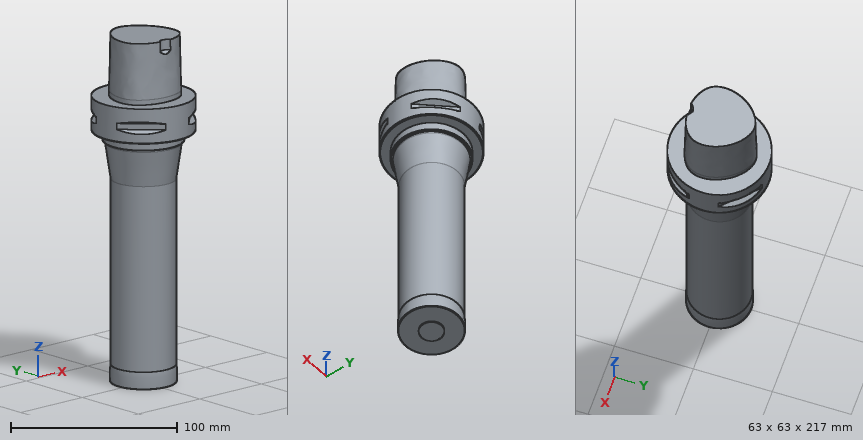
import cadquery as cq
import math

total_height = 217.0
shank_base_z = 182.3
flange_top_z = 179.0
flange_bottom_z = 157.0
neck_bottom_z = 151.0
cone_top_z = 150.0
cone_bottom_z = 127.5
head_top_z = 11.7
head_bulge_z = 5.2
head_bottom_z = 0.9

flange_diameter = 63.0
neck_diameter = 49.5
cone_diameter = 46.5
bar_diameter = 39.7
head_diameter = 41.0
head_end_diameter = 40.5
boss_diameter = 15.6

flange_chamfer = 0.7
neck_chamfer = 0.5
head_chamfer = 0.5

shank_top_width = 41.9
shank_base_width = 43.6
lobe_offset = 1.2
lobe_count = 3
lobe_direction = math.pi / 2
outline_point_count = 48

notch_radius = 4.5
notch_axis_y = -21.5
notch_wall_depth = 6.5
notch_point_angle = 118.0
notch_tip_depth = notch_wall_depth + notch_radius / math.tan(math.radians(notch_point_angle / 2))

slot_count = 4
slot_first_angle = 45.0
slot_z = 167.0
slot_floor_distance = 27.8
slot_floor_height = 3.7
slot_mouth_height = 7.5


def lobed_section(radius, height):
    """Closed smooth outline whose support distance is radius + lobe_offset * cos(3 * angle)."""
    points = []
    for i in range(outline_point_count):
        angle = 2 * math.pi * i / outline_point_count
        support = radius + lobe_offset * math.cos(lobe_count * angle)
        slope = -lobe_count * lobe_offset * math.sin(lobe_count * angle)
        direction = angle + lobe_direction
        x = support * math.cos(direction) - slope * math.sin(direction)
        y = support * math.sin(direction) + slope * math.cos(direction)
        points.append((x, y))
    outline = cq.Workplane("XY").workplane(offset=height).spline(points, periodic=True).close()
    return outline.wires().val()


def make_shank():
    """Lobed taper standing on a short straight base of the same section."""
    base_section = lobed_section(shank_base_width / 2, shank_base_z)
    top_section = lobed_section(shank_top_width / 2, total_height)
    taper = cq.Workplane(cq.Solid.makeLoft([base_section, top_section], True))
    foot_section = lobed_section(shank_base_width / 2, flange_top_z)
    foot_height = shank_base_z - flange_top_z
    foot = cq.Workplane(cq.Solid.extrudeLinear(foot_section, [], cq.Vector(0, 0, foot_height)))
    return foot.union(taper)


def make_turned_bar():
    """Flange, neck, cone and long cylindrical bar."""
    flange_radius = flange_diameter / 2
    neck_radius = neck_diameter / 2
    profile = [
        (0, head_top_z),
        (bar_diameter / 2, head_top_z),
        (bar_diameter / 2, cone_bottom_z),
        (cone_diameter / 2, cone_top_z),
        (cone_diameter / 2, neck_bottom_z),
        (neck_radius - neck_chamfer, neck_bottom_z),
        (neck_radius, neck_bottom_z + neck_chamfer),
        (neck_radius, flange_bottom_z),
        (flange_radius - flange_chamfer, flange_bottom_z),
        (flange_radius, flange_bottom_z + flange_chamfer),
        (flange_radius, flange_top_z),
        (0, flange_top_z),
    ]
    return cq.Workplane("XZ").polyline(profile).close().revolve(360, (0, 0), (0, 1))


def make_notch():
    """Drill-shaped cutter for the orientation notch."""
    profile = [
        (0, total_height),
        (notch_radius, total_height),
        (notch_radius, total_height - notch_wall_depth),
        (0, total_height - notch_tip_depth),
    ]
    drill = cq.Workplane("XZ").polyline(profile).close().revolve(360, (0, 0), (0, 1))
    return drill.translate((0, notch_axis_y, 0))


def make_gripper_slot(angle):
    """Straight flat-bottomed slot with flared sides, facing the given angle."""
    mouth_distance = flange_diameter / 2
    profile = [
        (slot_floor_distance, slot_z - slot_floor_height / 2),
        (mouth_distance, slot_z - slot_mouth_height / 2),
        (mouth_distance, slot_z + slot_mouth_height / 2),
        (slot_floor_distance, slot_z + slot_floor_height / 2),
    ]
    cutter = cq.Workplane("XZ").polyline(profile).close().extrude(flange_diameter / 2, both=True)
    return cutter.rotate((0, 0, 0), (0, 0, 1), angle)


def make_holder():
    holder = make_turned_bar().union(make_shank()).cut(make_notch())
    for i in range(slot_count):
        holder = holder.cut(make_gripper_slot(slot_first_angle + i * 360 / slot_count))
    return holder


def make_head():
    """End collar with a barrel-shaped side, with a central boss on its end face."""
    head_radius = head_diameter / 2
    profile = (
        cq.Workplane("XZ")
        .lineTo(boss_diameter / 2, 0)
        .lineTo(boss_diameter / 2, head_bottom_z)
        .lineTo(head_end_diameter / 2 - head_chamfer, head_bottom_z)
        .lineTo(head_end_diameter / 2, head_bottom_z + head_chamfer)
        .threePointArc((head_radius, head_bulge_z), (bar_diameter / 2, head_top_z))
        .lineTo(0, head_top_z)
        .close()
    )
    return profile.revolve(360, (0, 0), (0, 1))


holder = make_holder()
head = make_head()
result = cq.Compound.makeCompound([holder.val(), head.val()])